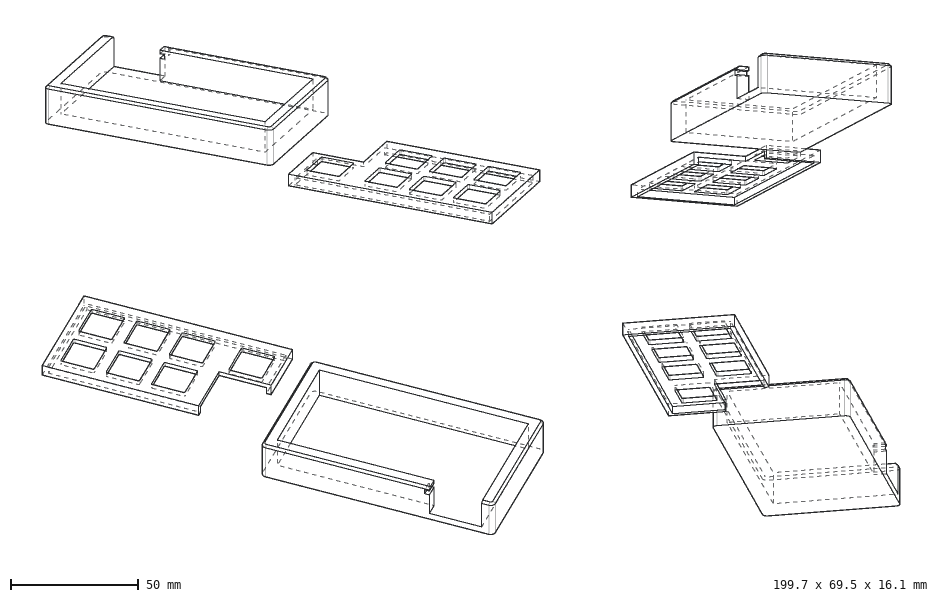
import cadquery as cq

cavity_length = 88.0
cavity_width = 45.0
wall = 5.0
tray_length = cavity_length + 2 * wall
tray_width = cavity_width + 2 * wall
tray_height = 16.1
floor_thickness = 3.0
corner_radius = 2.0
rim_bevel = 1.0

opening_length = 22.0
slit_depth = 2.0
slit_height = 2.0
slit_top_gap = 1.5

clearance = 0.1
plate_length = cavity_length - 2 * clearance
plate_width = cavity_width - 2 * clearance
plate_height = 5.0
sheet_thickness = 2.0
skirt_thickness = 2.0
plate_right = 199.74
plate_left = plate_right - plate_length
plate_front = -14.47
notch_size = opening_length - clearance

key_size = 14.0
key_corner_radius = 0.5
key_pitch = 19.1
key_columns = 3
key_rows = 2
first_column_x = 36.9
first_row_y = 13.4
single_key_x = 11.9


def box(length, width, height, x, y, z):
    """Box given by its size and its lowest corner."""
    return cq.Workplane("XY").box(length, width, height, centered=False).translate((x, y, z))


def make_tray():
    tray = box(tray_length, tray_width, tray_height, 0, 0, 0)
    tray = tray.edges("|Z").fillet(corner_radius)
    tray = tray.faces(">Z").edges().chamfer(rim_bevel)
    cavity = box(cavity_length, cavity_width, tray_height, wall, wall, floor_thickness)

    rear_wall_y = tray_width - wall
    opening = box(opening_length, wall, tray_height, wall, rear_wall_y, floor_thickness)
    slit_z = tray_height - slit_top_gap - slit_height
    slit = box(slit_depth, wall, slit_height, wall + opening_length, rear_wall_y, slit_z)
    return tray.cut(cavity).cut(opening).cut(slit)


def key_centers():
    """Key hole centres measured from the plate's front-left corner."""
    grid = [
        (first_column_x + column * key_pitch, first_row_y + row * key_pitch)
        for column in range(key_columns)
        for row in range(key_rows)
    ]
    return [(single_key_x, first_row_y)] + grid


def make_key_plate():
    plate = box(plate_length, plate_width, plate_height, 0, 0, 0)
    hollow = box(
        plate_length - 2 * skirt_thickness,
        plate_width - 2 * skirt_thickness,
        plate_height - sheet_thickness,
        skirt_thickness,
        skirt_thickness,
        0,
    )
    notch = box(notch_size, notch_size, plate_height, 0, plate_width - notch_size, 0)
    keys = (
        cq.Workplane("XY")
        .pushPoints(key_centers())
        .rect(key_size, key_size)
        .extrude(plate_height)
        .edges("|Z")
        .fillet(key_corner_radius)
    )
    plate = plate.cut(hollow).cut(notch).cut(keys)
    return plate.translate((plate_left, plate_front, 0))


tray = make_tray()
key_plate = make_key_plate()

result = cq.Compound.makeCompound([tray.val(), key_plate.val()])